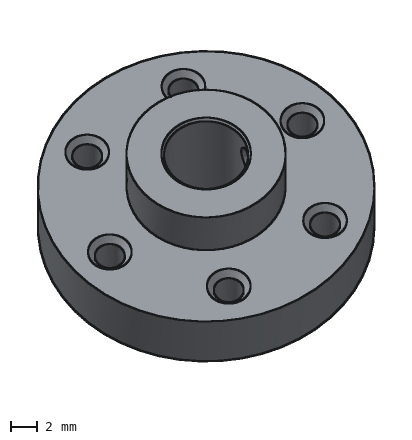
import cadquery as cq
import math

flange_diameter = 25.4
flange_thickness = 5.05

hub_diameter = 12.0
total_height = 9.2
hub_height = total_height - flange_thickness

bore_diameter = 6.35
bore_chamfer = 0.2

hole_count = 6
hole_circle_diameter = 19.05
hole_diameter = 2.26
countersink_diameter = 3.29
countersink_angle = 90.0
first_hole_angle = 30.0

set_screw_diameter = 2.5
set_screw_countersink_diameter = countersink_diameter
set_screw_angle = first_hole_angle + 180.0 / hole_count
set_screw_height = flange_thickness + hub_height / 2


def make_body():
    """Round flange on the XY plane with a concentric hub above it."""
    flange = cq.Workplane("XY").circle(flange_diameter / 2).extrude(flange_thickness)
    hub = cq.Workplane("XY").circle(hub_diameter / 2).extrude(total_height)
    return flange.union(hub)


def cut_bore(body):
    """Bore the full height and break the bore edge at the top."""
    bore = cq.Workplane("XY").circle(bore_diameter / 2).extrude(total_height)
    bored = body.cut(bore)
    top_bore_edge = bored.faces(">Z").edges(cq.selectors.RadiusNthSelector(0))
    return top_bore_edge.chamfer(bore_chamfer)


def cut_mounting_holes(body):
    """Countersunk through holes, evenly spaced on a circle around the bore."""
    return (
        body.copyWorkplane(cq.Workplane("XY", origin=(0, 0, flange_thickness)))
        .polarArray(hole_circle_diameter / 2, first_hole_angle, 360, hole_count)
        .cskHole(hole_diameter, countersink_diameter, countersink_angle, depth=flange_thickness)
    )


def cut_set_screw_hole(body):
    """Radial hole from the hub axis out through the hub wall, countersunk on the outside."""
    angle = math.radians(set_screw_angle)
    outward = cq.Vector(math.cos(angle), math.sin(angle), 0)
    hub_radius = hub_diameter / 2
    axis_start = cq.Vector(0, 0, set_screw_height)
    drill = cq.Solid.makeCylinder(set_screw_diameter / 2, hub_radius, axis_start, outward)

    mouth_radius = set_screw_countersink_diameter / 2
    mouth_centre = axis_start + outward * hub_radius
    countersink = cq.Solid.makeCone(mouth_radius, 0, mouth_radius, mouth_centre, outward * -1)
    return body.cut(cq.Workplane(drill)).cut(cq.Workplane(countersink))


result = make_body()
result = cut_bore(result)
result = cut_mounting_holes(result)
result = cut_set_screw_hole(result)